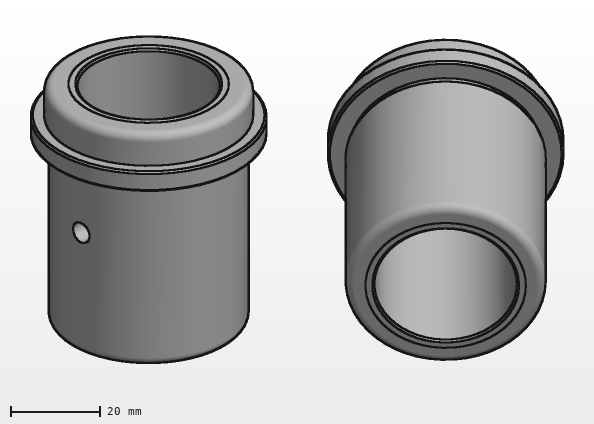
import cadquery as cq
import math

height = 60.0
flange_top = 52.0
flange_bottom = 47.0
hole_height = 31.0

flange_diameter = 53.0
head_diameter = 47.0
barrel_diameter = 45.0
liner_diameter = 36.0
bore_diameter = 32.0
hole_diameter = 5.0

rim_fillet = 2.0
flange_chamfer = 0.5
bore_chamfer = 0.5

groove_height = 2.0
groove_depth = 0.65
groove_radius = 2.5


def cylinder(diameter, bottom, top):
    """Vertical cylinder about the Z axis between two heights."""
    return cq.Workplane("XY").workplane(offset=bottom).circle(diameter / 2).extrude(top - bottom)


def make_relief_groove():
    """Ring removed from the barrel just below the flange."""
    barrel_radius = barrel_diameter / 2
    groove_bottom = flange_bottom - groove_height
    arc_center_radius = barrel_radius - groove_depth + groove_radius
    arc_center_height = groove_bottom + math.sqrt(
        groove_radius**2 - (arc_center_radius - barrel_radius) ** 2
    )
    top_radius = arc_center_radius - math.sqrt(
        groove_radius**2 - (flange_bottom - arc_center_height) ** 2
    )
    return (
        cq.Workplane("XZ")
        .moveTo(top_radius, flange_bottom)
        .threePointArc(
            (barrel_radius - groove_depth, arc_center_height),
            (barrel_radius, groove_bottom),
        )
        .lineTo(barrel_radius, flange_bottom)
        .close()
        .revolve(360, (0, 0, 0), (0, 1, 0))
    )


def make_radial_hole():
    """Cylinder running from the axis out through the -Y wall."""
    return (
        cq.Workplane("XZ")
        .center(0, hole_height)
        .circle(hole_diameter / 2)
        .extrude(barrel_diameter)
    )


def make_housing():
    """Flanged outer sleeve with rounded ends."""
    barrel = cylinder(barrel_diameter, 0, flange_bottom).faces("<Z").edges().fillet(rim_fillet)
    barrel = barrel.cut(make_relief_groove())
    flange = cylinder(flange_diameter, flange_bottom, flange_top).edges().chamfer(flange_chamfer)
    head = cylinder(head_diameter, flange_top, height).faces(">Z").edges().fillet(rim_fillet)
    sleeve = barrel.union(flange).union(head)
    return sleeve.cut(cylinder(liner_diameter, 0, height)).cut(make_radial_hole())


def make_liner():
    """Plain bushing lining the housing, chamfered at both ends of its bore."""
    liner = cylinder(liner_diameter, 0, height).cut(cylinder(bore_diameter, 0, height))
    return liner.edges(cq.selectors.RadiusNthSelector(0)).chamfer(bore_chamfer)


housing = make_housing()
liner = make_liner()

result = cq.Compound.makeCompound([housing.val(), liner.val()])